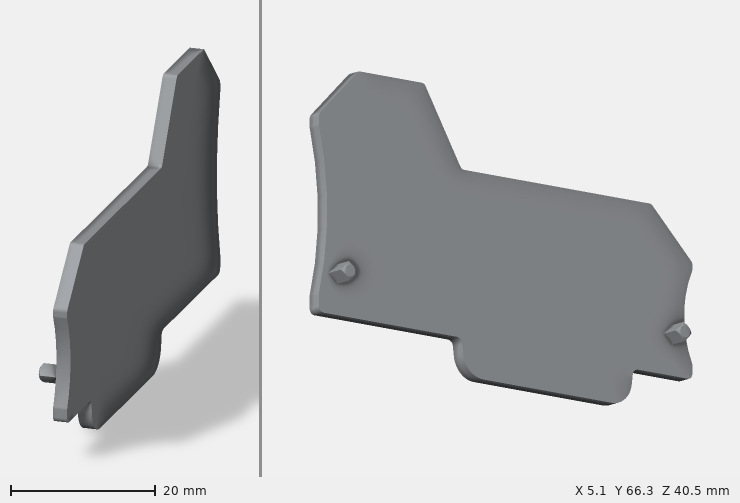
import cadquery as cq

length = 66.3
height = 40.5
thickness = 2.05
half_length = length / 2

shoulder_z = 29.25
peak_chamfer = 7.0
shoulder_chamfer = 7.3
peak_inner_y = 14.45
shoulder_inner_y = 7.8
corner_radius = 0.8
peak_outer_radius = 0.3

hollow_depth = 1.45
peak_hollow_z = 19.95
peak_hollow_half_height = 11.9
shoulder_hollow_z = 14.2
shoulder_hollow_half_height = 6.6

base_z = 5.4
tab_left_y = 7.8
tab_right_y = -22.7
tab_wall_lean = 0.65
tab_radius = 3.6
tab_root_radius = 0.9

pin_length = 3.05
pin_side = 2.0
pin_edge_radius = 1.4
pin_tip_radius = 0.85
pin_taper_length = 0.4
pin_z = 11.15
pin_ys = (30.05, -29.45)


def round_corners(body, points, radius):
    """Round the plate edges that run along X through the given (y, z) points."""
    for y, z in points:
        edge = body.edges("|X").edges(cq.selectors.NearestToPointSelector((thickness / 2, y, z)))
        body = edge.fillet(radius)
    return body


def make_plate():
    peak_outer = (half_length - peak_chamfer, height)
    peak_inner = (peak_inner_y, height)
    shoulder_inner = (shoulder_inner_y, shoulder_z)
    shoulder_outer = (-half_length + shoulder_chamfer, shoulder_z)
    peak_side = (half_length, height - peak_chamfer)
    shoulder_side = (-half_length, shoulder_z - shoulder_chamfer)
    base_left = (half_length, base_z)
    base_right = (-half_length, base_z)
    peak_hollow_ends = [
        (half_length, peak_hollow_z - peak_hollow_half_height),
        (half_length, peak_hollow_z + peak_hollow_half_height),
    ]
    shoulder_hollow_ends = [
        (-half_length, shoulder_hollow_z + shoulder_hollow_half_height),
        (-half_length, shoulder_hollow_z - shoulder_hollow_half_height),
    ]
    tab_roots = [(tab_left_y, base_z), (tab_right_y, base_z)]
    tab_corners = [(tab_left_y - tab_wall_lean, 0), (tab_right_y + tab_wall_lean, 0)]

    plate = (
        cq.Workplane("YZ")
        .moveTo(*peak_outer)
        .lineTo(*peak_inner)
        .lineTo(*shoulder_inner)
        .lineTo(*shoulder_outer)
        .lineTo(*shoulder_side)
        .lineTo(*shoulder_hollow_ends[0])
        .threePointArc((-half_length + hollow_depth, shoulder_hollow_z), shoulder_hollow_ends[1])
        .lineTo(*base_right)
        .lineTo(*tab_roots[1])
        .lineTo(*tab_corners[1])
        .lineTo(*tab_corners[0])
        .lineTo(*tab_roots[0])
        .lineTo(*base_left)
        .lineTo(*peak_hollow_ends[0])
        .threePointArc((half_length - hollow_depth, peak_hollow_z), peak_hollow_ends[1])
        .lineTo(*peak_side)
        .close()
        .extrude(thickness)
    )
    outer_corners = [
        peak_inner, shoulder_inner, shoulder_outer, peak_side, shoulder_side,
        base_left, base_right, *peak_hollow_ends, *shoulder_hollow_ends,
    ]
    plate = round_corners(plate, outer_corners, corner_radius)
    plate = round_corners(plate, [peak_outer], peak_outer_radius)
    plate = round_corners(plate, tab_roots, tab_root_radius)
    return round_corners(plate, tab_corners, tab_radius)


def make_pin(y):
    root_x = thickness / 2
    full_length = root_x + pin_length
    bar = (
        cq.Workplane("XY")
        .rect(pin_side, pin_side)
        .extrude(full_length)
        .rotate((0, 0, 0), (0, 0, 1), 45)
    )
    envelope = (
        cq.Workplane("XY")
        .circle(pin_edge_radius)
        .extrude(full_length)
        .faces(">Z")
        .chamfer(pin_taper_length, pin_edge_radius - pin_tip_radius)
    )
    pin = bar.intersect(envelope)
    return pin.rotate((0, 0, 0), (0, 1, 0), -90).translate((root_x, y, pin_z))


result = make_plate()
for pin_y in pin_ys:
    result = result.union(make_pin(pin_y))